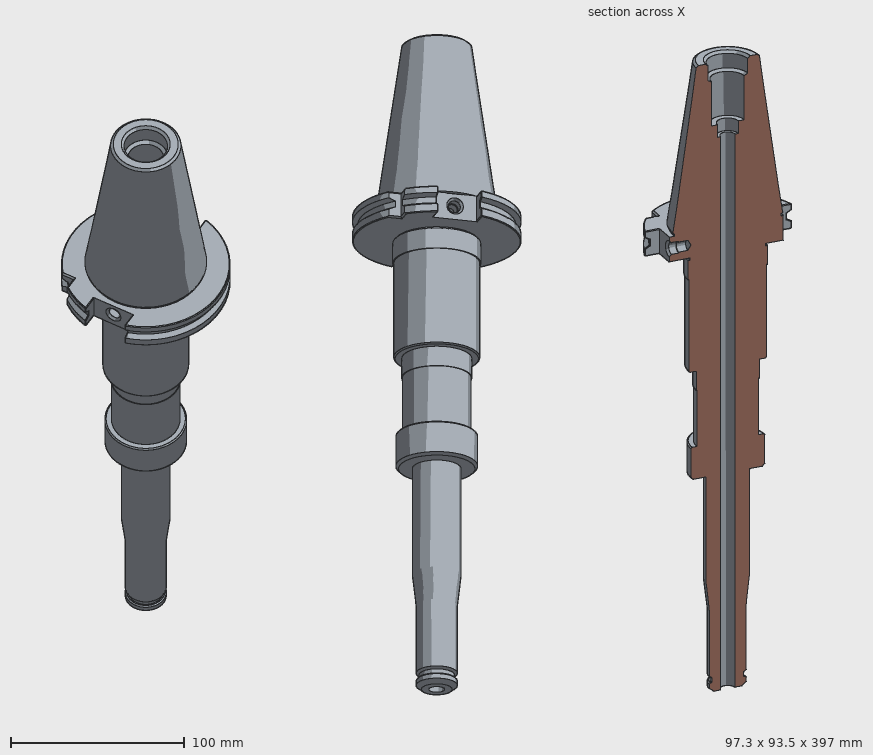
import cadquery as cq
import math

LENGTH = 397.0

TAPER_LENGTH = 103.0
TAPER_BASE_DIA = 70.3
TAPER_RATIO = 7 / 24
TAPER_TOP_DIA = TAPER_BASE_DIA - TAPER_LENGTH * TAPER_RATIO
TOP_CHAMFER_WIDTH = 1.5
TOP_CHAMFER_HEIGHT = 1.0
TAPER_BASE_Z = LENGTH - TAPER_LENGTH

FLANGE_DIA = 97.3
FLANGE_GAP = 2.0
FLANGE_THICKNESS = 16.0
FLANGE_TOP_Z = TAPER_BASE_Z - FLANGE_GAP
FLANGE_BOTTOM_Z = FLANGE_TOP_Z - FLANGE_THICKNESS
FLANGE_NECK_DIA = 68.3
GROOVE_Z = FLANGE_TOP_Z - 7.5
GROOVE_ROOT_DIA = 91.5
GROOVE_ROOT_WIDTH = 3.5
GROOVE_WALL_ANGLE = 30.0

SLOT_WIDTH = 26.0
REAR_SLOT_FLOOR = 35.5
FRONT_SLOT_FLOOR = 37.5
NOTCH_CORNER = 30.5
NOTCH_CHAMFER = 1.0
EDGE_CHAMFER = 0.5

RADIAL_HOLE_DIA = 7.0
RADIAL_MOUTH_DIA = 10.0
RADIAL_HOLE_DEPTH = 6.0
PILOT_DIA = 6.0
PILOT_DEPTH = 12.0
DRILL_POINT_ANGLE = 118.0

RELIEF_DIA = 48.5
RELIEF_WIDTH = 1.0
COLLAR_DIA = 51.0
COLLAR_BOTTOM_Z = 263.0
BODY_DIA = 49.5
BODY_BOTTOM_Z = 204.0
BODY_CHAMFER = 0.8
STEP_DIA = 40.5
STEP_BOTTOM_Z = 192.0
NECK_DIA = 39.7
NUT_DIA = 47.3
NUT_TOP_Z = 157.0
NUT_BOTTOM_Z = 136.2
NUT_TOP_CHAMFER = 0.8
NUT_BOTTOM_CHAMFER = 1.5

SHAFT_DIA = 28.0
SHAFT_BOTTOM_Z = 70.3
TIP_DIA = 24.0
TIP_CONE_BOTTOM_Z = 51.2
TIP_BOTTOM_Z = 10.0
TIP_GROOVE_DIA = 20.5
TIP_GROOVE_TOP_Z = 8.7
RING_TOP_Z = 6.0
RING_CHAMFER = 0.8
END_DIA = 18.0
END_CHAMFER_HEIGHT = 2.5

MOUTH_DIA = 28.0
BORE_DIA = 25.0
BORE_DEPTH = 10.7
THREAD_DIA = 20.5
THREAD_COUNTERSINK_ANGLE = 120.0
THREAD_DEPTH = 39.7
COOLANT_MOUTH_DIA = 13.0
COOLANT_MOUTH_DEPTH = 47.5
COOLANT_DIA = 9.0


def revolve_profile(steps):
    """Revolve (diameter, z) pairs, listed from top to bottom, about Z."""
    points = [(dia / 2, z) for dia, z in steps]
    top_z = steps[0][1]
    bottom_z = steps[-1][1]
    points = [(0, top_z)] + points + [(0, bottom_z)]
    return cq.Workplane("XZ").polyline(points).close().revolve(360, (0, 0), (0, 1))


def make_body():
    chamfer_z = LENGTH - TOP_CHAMFER_HEIGHT
    chamfer_dia = TAPER_TOP_DIA + TOP_CHAMFER_HEIGHT * TAPER_RATIO
    neck_bevel = (TAPER_BASE_DIA - FLANGE_NECK_DIA) / 2
    shank = [
        (chamfer_dia - 2 * TOP_CHAMFER_WIDTH, LENGTH),
        (chamfer_dia, chamfer_z),
        (TAPER_BASE_DIA, TAPER_BASE_Z),
        (FLANGE_NECK_DIA, TAPER_BASE_Z - neck_bevel),
        (FLANGE_NECK_DIA, FLANGE_TOP_Z),
    ]
    body = [
        (RELIEF_DIA, FLANGE_BOTTOM_Z),
        (RELIEF_DIA, FLANGE_BOTTOM_Z - RELIEF_WIDTH),
        (COLLAR_DIA, FLANGE_BOTTOM_Z - RELIEF_WIDTH),
        (COLLAR_DIA, COLLAR_BOTTOM_Z),
        (BODY_DIA, COLLAR_BOTTOM_Z),
        (BODY_DIA, BODY_BOTTOM_Z + BODY_CHAMFER),
        (BODY_DIA - 2 * BODY_CHAMFER, BODY_BOTTOM_Z),
        (STEP_DIA, BODY_BOTTOM_Z),
        (STEP_DIA, STEP_BOTTOM_Z),
        (NECK_DIA, STEP_BOTTOM_Z),
        (NECK_DIA, NUT_TOP_Z),
    ]
    nut = [
        (NUT_DIA - 2 * NUT_TOP_CHAMFER, NUT_TOP_Z),
        (NUT_DIA, NUT_TOP_Z - NUT_TOP_CHAMFER),
        (NUT_DIA, NUT_BOTTOM_Z + NUT_BOTTOM_CHAMFER),
        (NUT_DIA - 2 * NUT_BOTTOM_CHAMFER, NUT_BOTTOM_Z),
    ]
    extension = [
        (SHAFT_DIA, NUT_BOTTOM_Z),
        (SHAFT_DIA, SHAFT_BOTTOM_Z),
        (TIP_DIA, TIP_CONE_BOTTOM_Z),
        (TIP_DIA, TIP_BOTTOM_Z),
        (TIP_GROOVE_DIA, TIP_GROOVE_TOP_Z),
        (TIP_GROOVE_DIA, RING_TOP_Z),
        (TIP_DIA - 2 * RING_CHAMFER, RING_TOP_Z),
        (TIP_DIA, RING_TOP_Z - RING_CHAMFER),
        (TIP_DIA, END_CHAMFER_HEIGHT),
        (END_DIA, 0),
    ]
    return revolve_profile(shank + body + nut + extension)


def make_bore():
    mouth_chamfer = (MOUTH_DIA - BORE_DIA) / 2
    sink_half_angle = math.radians(THREAD_COUNTERSINK_ANGLE / 2)
    sink_height = (BORE_DIA - THREAD_DIA) / 2 / math.tan(sink_half_angle)
    return revolve_profile([
        (MOUTH_DIA, LENGTH),
        (BORE_DIA, LENGTH - mouth_chamfer),
        (BORE_DIA, LENGTH - BORE_DEPTH),
        (THREAD_DIA, LENGTH - BORE_DEPTH - sink_height),
        (THREAD_DIA, LENGTH - THREAD_DEPTH),
        (COOLANT_MOUTH_DIA, LENGTH - THREAD_DEPTH),
        (COOLANT_MOUTH_DIA, LENGTH - COOLANT_MOUTH_DEPTH),
        (COOLANT_DIA, LENGTH - COOLANT_MOUTH_DEPTH),
        (COOLANT_DIA, 0),
    ])


def flange_cut(x_min, x_max, y_min, y_max):
    """Box through the full flange thickness."""
    size = (x_max - x_min, y_max - y_min, FLANGE_THICKNESS)
    block = cq.Workplane("XY").box(*size, centered=False)
    return block.translate((x_min, y_min, FLANGE_BOTTOM_Z))


def make_flange():
    groove_depth = (FLANGE_DIA - GROOVE_ROOT_DIA) / 2
    root_half = GROOVE_ROOT_WIDTH / 2
    mouth_half = root_half + groove_depth * math.tan(math.radians(GROOVE_WALL_ANGLE))
    rim_chamfer_dia = FLANGE_DIA - 2 * EDGE_CHAMFER
    flange = revolve_profile([
        (rim_chamfer_dia, FLANGE_TOP_Z),
        (FLANGE_DIA, FLANGE_TOP_Z - EDGE_CHAMFER),
        (FLANGE_DIA, GROOVE_Z + mouth_half),
        (GROOVE_ROOT_DIA, GROOVE_Z + root_half),
        (GROOVE_ROOT_DIA, GROOVE_Z - root_half),
        (FLANGE_DIA, GROOVE_Z - mouth_half),
        (FLANGE_DIA, FLANGE_BOTTOM_Z + EDGE_CHAMFER),
        (rim_chamfer_dia, FLANGE_BOTTOM_Z),
    ])
    rim = FLANGE_DIA / 2
    half_slot = SLOT_WIDTH / 2

    flange = flange.cut(flange_cut(-rim, -NOTCH_CORNER, -rim, -NOTCH_CORNER))
    notch_walls = flange.faces("|X or |Y")
    flange = notch_walls.edges("|X or |Y").chamfer(NOTCH_CHAMFER)

    flange = flange.cut(flange_cut(-half_slot, half_slot, REAR_SLOT_FLOOR, rim))
    flange = flange.cut(flange_cut(-half_slot, half_slot, -rim, -FRONT_SLOT_FLOOR))
    side_walls = flange.faces("|X").faces("not <X")
    beyond_floor = FRONT_SLOT_FLOOR + EDGE_CHAMFER
    outer_edges = side_walls.edges().filter(lambda edge: abs(edge.Center().y) > beyond_floor)
    return outer_edges.chamfer(EDGE_CHAMFER)


def make_radial_hole():
    """Chamfered, stepped hole with a drill point, running inward along +Y."""
    chamfer = (RADIAL_MOUTH_DIA - RADIAL_HOLE_DIA) / 2
    point_depth = PILOT_DIA / 2 / math.tan(math.radians(DRILL_POINT_ANGLE / 2))
    hole = (
        cq.Workplane("XY")
        .moveTo(0, 0)
        .lineTo(RADIAL_MOUTH_DIA / 2, 0)
        .lineTo(RADIAL_HOLE_DIA / 2, chamfer)
        .lineTo(RADIAL_HOLE_DIA / 2, RADIAL_HOLE_DEPTH)
        .lineTo(PILOT_DIA / 2, RADIAL_HOLE_DEPTH)
        .lineTo(PILOT_DIA / 2, PILOT_DEPTH)
        .lineTo(0, PILOT_DEPTH + point_depth)
        .close()
        .revolve(360, (0, 0), (0, 1))
    )
    return hole.translate((0, -FRONT_SLOT_FLOOR, GROOVE_Z))


result = make_flange().union(make_body()).cut(make_bore()).cut(make_radial_hole())